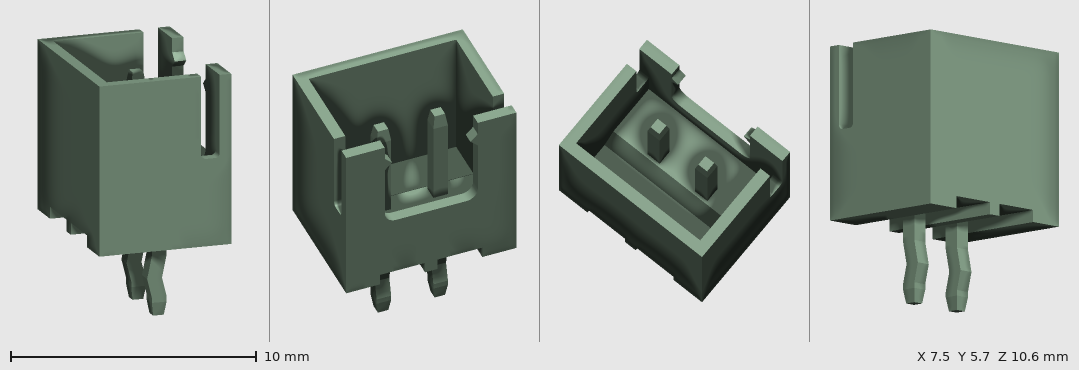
import cadquery as cq

WIDTH = 7.5
DEPTH = 5.7
HEIGHT = 7.2
WALL = 0.5
REAR_Y = 2.34
FRONT_Y = REAR_Y - DEPTH
INNER_WIDTH = WIDTH - 2 * WALL
INNER_FRONT_Y = FRONT_Y + WALL
INNER_REAR_Y = REAR_Y - WALL

FRONT_FLOOR_Z = 1.5
REAR_FLOOR_Z = 2.0
RAMP_FRONT_Y = -1.02
RAMP_REAR_Y = -0.45

SLOT_WIDTH = 0.8
SLOT_DEPTH = 3.5
SLOT_RADIUS = 0.2

WINDOW_WIDTH = 4.1
WINDOW_DEPTH = 4.0
WINDOW_RADIUS = 0.5
BARB_DROP = 0.6
BARB_HEIGHT = 0.6
BARB_REACH = 0.33

CHANNEL_DEPTH = 0.5
CHANNEL_SPAN = 4.5
CENTER_FOOT_WIDTH = 0.55

PIN_PITCH = 2.5
PIN_SIZE = 0.64
PIN_TIP_SIZE = 0.46
PIN_TAPER = 0.57
PIN_TOP_Z = HEIGHT - 0.97
PIN_BOTTOM_Z = -3.4
KINK_TOP_Z = -0.85
KINK_MIDDLE_Z = -1.8
KINK_BOTTOM_Z = -2.6
KINK_OFFSET = 0.2


def make_block(x_size, y_min, y_max, z_min, z_max, x_center=0):
    """Box centered on x_center in X, spanning the given Y and Z ranges."""
    block = cq.Workplane("XY").box(x_size, y_max - y_min, z_max - z_min, centered=(True, False, False))
    return block.translate((x_center, y_min, z_min))


def make_cavity():
    """Open interior above the stepped floor."""
    profile = [
        (INNER_FRONT_Y, HEIGHT),
        (INNER_FRONT_Y, FRONT_FLOOR_Z),
        (RAMP_FRONT_Y, FRONT_FLOOR_Z),
        (RAMP_REAR_Y, REAR_FLOOR_Z),
        (INNER_REAR_Y, REAR_FLOOR_Z),
        (INNER_REAR_Y, HEIGHT),
    ]
    return cq.Workplane("YZ").polyline(profile).close().extrude(INNER_WIDTH / 2, both=True)


def make_side_slots():
    """One cutter that slots both side walls, rounded at the slot bottom."""
    slot = make_block(WIDTH, INNER_REAR_Y - SLOT_WIDTH, INNER_REAR_Y, HEIGHT - SLOT_DEPTH, HEIGHT)
    return slot.edges("|X and <Z").fillet(SLOT_RADIUS)


def make_window():
    """Cutter for the rear wall opening, rounded at its lower corners."""
    window = make_block(WINDOW_WIDTH, INNER_REAR_Y, REAR_Y, HEIGHT - WINDOW_DEPTH, HEIGHT)
    return window.edges("|Y and <Z").fillet(WINDOW_RADIUS)


def make_barb(side):
    """Triangular latch barb pointing into the window; side is -1 or 1."""
    root_x = side * WINDOW_WIDTH / 2
    top_z = HEIGHT - BARB_DROP
    profile = [
        (root_x, top_z),
        (root_x - side * BARB_REACH, top_z - BARB_HEIGHT / 2),
        (root_x, top_z - BARB_HEIGHT),
    ]
    barb = cq.Workplane("XZ").polyline(profile).close().extrude(WALL)
    return barb.translate((0, REAR_Y, 0))


def make_channel(side):
    """Cutter for one channel running front to rear under the housing; side is -1 or 1."""
    width = (CHANNEL_SPAN - CENTER_FOOT_WIDTH) / 2
    x_center = side * (CENTER_FOOT_WIDTH + width) / 2
    return make_block(width, FRONT_Y, REAR_Y, 0, CHANNEL_DEPTH, x_center)


def make_housing():
    housing = make_block(WIDTH, FRONT_Y, REAR_Y, 0, HEIGHT)
    housing = housing.cut(make_cavity()).cut(make_side_slots()).cut(make_window())
    for side in (-1, 1):
        housing = housing.cut(make_channel(side)).union(make_barb(side))
    return housing


def make_pin_tip(base_z, end_z):
    """Tapered pin end from the full section at base_z to the small section at end_z."""
    base = cq.Workplane("XY").workplane(offset=base_z).rect(PIN_SIZE, PIN_SIZE)
    return base.workplane(offset=end_z - base_z).rect(PIN_TIP_SIZE, PIN_TIP_SIZE).loft(combine=True)


def make_pin():
    """Kinked square pin standing at X = 0."""
    half = PIN_SIZE / 2
    shank_top_z = PIN_TOP_Z - PIN_TAPER
    shank_bottom_z = PIN_BOTTOM_Z + PIN_TAPER
    profile = [
        (half, shank_top_z),
        (half, KINK_TOP_Z),
        (half - KINK_OFFSET, KINK_MIDDLE_Z),
        (half, KINK_BOTTOM_Z),
        (half, shank_bottom_z),
        (-half, shank_bottom_z),
        (-half, KINK_BOTTOM_Z),
        (-half - KINK_OFFSET, KINK_MIDDLE_Z),
        (-half, KINK_TOP_Z),
        (-half, shank_top_z),
    ]
    shank = cq.Workplane("YZ").polyline(profile).close().extrude(half, both=True)
    top_tip = make_pin_tip(shank_top_z, PIN_TOP_Z)
    bottom_tip = make_pin_tip(shank_bottom_z, PIN_BOTTOM_Z)
    return shank.union(top_tip).union(bottom_tip)


result = make_housing()
for pin_x in (-PIN_PITCH / 2, PIN_PITCH / 2):
    result = result.union(make_pin().translate((pin_x, 0, 0)))